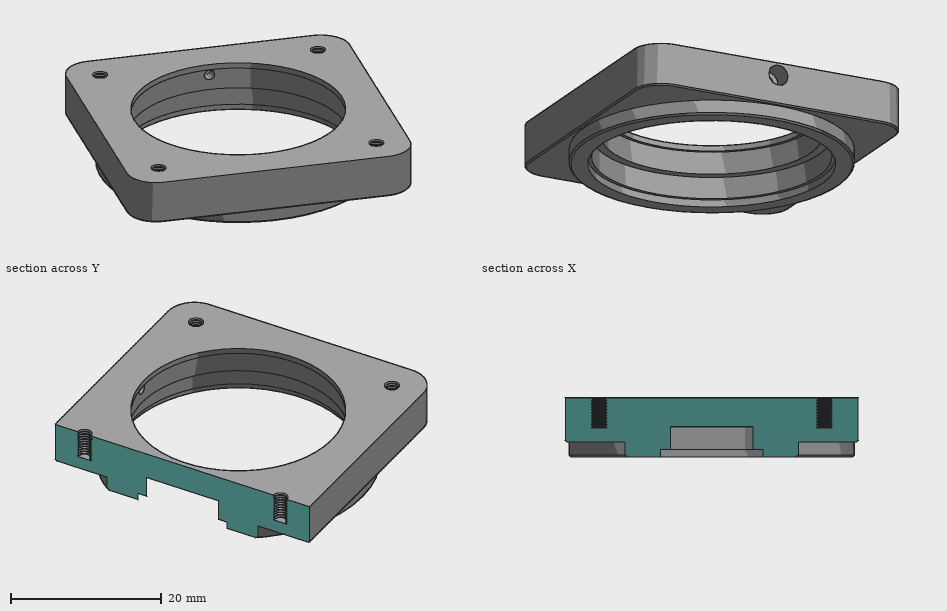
import cadquery as cq
import math

plate_side = 39.0
corner_radius = 4.0
total_height = 7.89
spigot_height = 2.0
plate_height = total_height - spigot_height
plate_chamfer = 0.2

spigot_diameter = 38.0
spigot_chamfer = 0.25

bore_steps = [
    (28.6, 7.12),
    (29.5, 4.0),
    (32.0, 1.0),
    (33.0, 0.0),
]

screw_spacing = 30.0
thread_diameter = 2.0
thread_pitch = 0.4
thread_turns = 10
thread_angle = 60.0
thread_root_flat = thread_pitch / 8
thread_crest_flat = thread_pitch / 4
thread_flank_height = (thread_pitch - thread_root_flat - thread_crest_flat) / 2
thread_depth = thread_flank_height / math.tan(math.radians(thread_angle / 2))

cross_diameter = 1.4
cross_counterbore_diameter = 2.8
cross_counterbore_depth = 3.0
cross_drop = 1.75


def make_plate():
    """Rounded square plate with a chamfered bottom edge, at the height of the spigot."""
    plate = cq.Workplane("XY", origin=(0, 0, spigot_height)).rect(plate_side, plate_side)
    plate = plate.extrude(plate_height).edges("|Z").fillet(corner_radius)
    return plate.faces("<Z").edges().chamfer(plate_chamfer)


def make_spigot():
    """Round spigot with a chamfered bottom rim, reaching a little way into the plate."""
    spigot = cq.Workplane("XY").circle(spigot_diameter / 2).extrude(spigot_height + plate_chamfer)
    return spigot.faces("<Z").edges().chamfer(spigot_chamfer)


def cut_bore(body):
    """Coaxial bores that widen in steps from the top lip to the spigot mouth."""
    step_top = total_height
    for diameter, step_bottom in bore_steps:
        step = cq.Workplane("XY", origin=(0, 0, step_bottom)).circle(diameter / 2)
        body = body.cut(step.extrude(step_top - step_bottom))
        step_top = step_bottom
    return body


def make_threaded_hole():
    """Thread-shaped void below the XY plane, around the Z axis, starting at full diameter."""
    root_radius = thread_diameter / 2
    crest_radius = root_radius - thread_depth
    profile = cq.Workplane("XZ").lineTo(root_radius, 0)
    for turn in range(thread_turns):
        crest_top = -turn * thread_pitch - thread_flank_height
        crest_bottom = crest_top - thread_crest_flat
        root_top = crest_bottom - thread_flank_height
        profile = profile.lineTo(crest_radius, crest_top).lineTo(crest_radius, crest_bottom)
        profile = profile.lineTo(root_radius, root_top).lineTo(root_radius, root_top - thread_root_flat)
    profile = profile.lineTo(0, -thread_turns * thread_pitch).close()
    return profile.revolve(360, (0, 0, 0), (0, 1, 0))


def cut_threaded_holes(body):
    """Four blind threaded holes at the corners of a square in the top face."""
    hole = make_threaded_hole()
    for x_side in (-1, 1):
        for y_side in (-1, 1):
            x = x_side * screw_spacing / 2
            y = y_side * screw_spacing / 2
            body = body.cut(hole.translate((x, y, total_height)))
    return body


def cut_cross_hole(body):
    """Counterbored hole running along +X from the -X side to the bore."""
    side = cq.Workplane("YZ", origin=(-plate_side / 2, 0, total_height - cross_drop))
    hole = side.circle(cross_diameter / 2).extrude(plate_side / 2)
    counterbore = side.circle(cross_counterbore_diameter / 2).extrude(cross_counterbore_depth)
    return body.cut(hole).cut(counterbore)


body = make_plate().union(make_spigot())
body = cut_bore(body)
body = cut_threaded_holes(body)
result = cut_cross_hole(body)